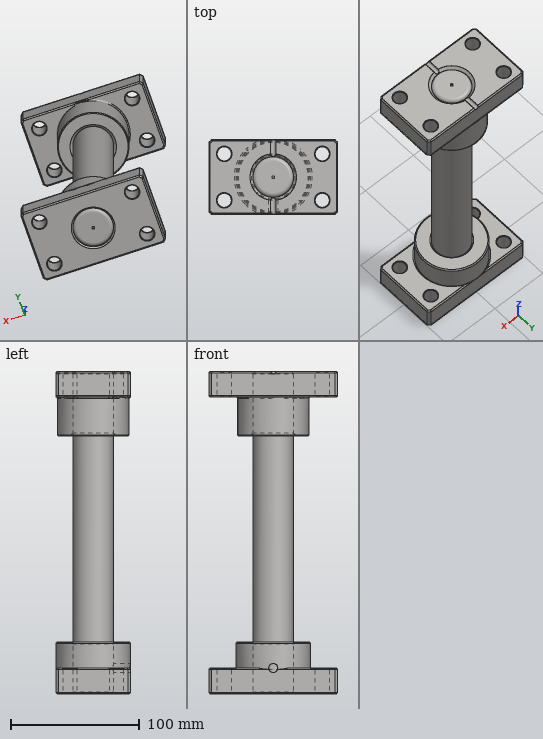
import cadquery as cq
import math

unit_height = 250.0

plate_length = 100.0
plate_width = 58.0
plate_thickness = 20.0
plate_corner_chamfer = 2.2
plate_edge_chamfer = plate_corner_chamfer / 2

bolt_spacing_x = 76.0
bolt_spacing_y = 36.0
bolt_hole_diameter = 11.0
bolt_hole_chamfer = 0.5

shaft_radius = 15.8
shaft_end_rounding = 3.2
center_mark_diameter = 2.0
center_mark_depth = 1.0

base_boss_radius = plate_width / 2
base_boss_height = 20.0
base_rim_chamfer = 1.0
base_mouth_chamfer = 1.2
root_groove_width = 1.2
cross_hole_diameter = 7.0

slider_boss_radius = 27.8
slider_boss_height = 30.0
slider_rim_chamfer = 0.8
slider_root_fillet = 1.0
slider_mouth_chamfer = 2.2
vent_groove_radius = 2.0


def make_plate(bottom_z):
    """Rectangular plate with chamfered edges and four bolt holes."""
    plate = (
        cq.Workplane("XY")
        .box(plate_length, plate_width, plate_thickness, centered=(True, True, False))
        .edges("|Z")
        .chamfer(plate_corner_chamfer)
        .faces("<Z or >Z")
        .chamfer(plate_edge_chamfer)
        .faces(">Z")
        .workplane(origin=(0, 0, plate_thickness))
        .rarray(bolt_spacing_x, bolt_spacing_y, 2, 2)
        .hole(bolt_hole_diameter)
        .edges("%CIRCLE")
        .chamfer(bolt_hole_chamfer)
    )
    return plate.translate((0, 0, bottom_z))


def make_bore(bottom_z, top_z, mouth_chamfer):
    """Cutter for the shaft bore, widened to a cone at both mouths."""
    mouth_radius = shaft_radius + mouth_chamfer
    return (
        cq.Workplane("XZ")
        .moveTo(0, bottom_z)
        .lineTo(mouth_radius, bottom_z)
        .lineTo(shaft_radius, bottom_z + mouth_chamfer)
        .lineTo(shaft_radius, top_z - mouth_chamfer)
        .lineTo(mouth_radius, top_z)
        .lineTo(0, top_z)
        .close()
        .revolve(360, (0, 0), (0, 1))
    )


def make_root_groove():
    """Cutter for the V-shaped relief ring in the base plate, around the foot of its boss."""
    return (
        cq.Workplane("XZ")
        .moveTo(base_boss_radius, plate_thickness)
        .lineTo(base_boss_radius + root_groove_width, plate_thickness)
        .lineTo(base_boss_radius, plate_thickness - root_groove_width)
        .close()
        .revolve(360, (0, 0), (0, 1))
    )


def make_base():
    """Lower flange: plate, boss, bore, and a radial hole from the -Y side into the bore."""
    top_z = plate_thickness + base_boss_height
    boss = (
        cq.Workplane("XY")
        .workplane(offset=plate_thickness - root_groove_width)
        .circle(base_boss_radius)
        .extrude(base_boss_height + root_groove_width)
        .faces(">Z")
        .chamfer(base_rim_chamfer)
    )
    cross_hole = (
        cq.Workplane("XZ")
        .center(0, plate_thickness)
        .circle(cross_hole_diameter / 2)
        .extrude(plate_width)
    )
    drilled_plate = make_plate(0).cut(cross_hole).cut(make_root_groove())
    drilled_boss = boss.cut(cross_hole)
    return drilled_plate.union(drilled_boss).cut(make_bore(0, top_z, base_mouth_chamfer))


def make_slider_boss(plate_underside):
    """Boss turned about Z below the plate, with a concave fillet at its root."""
    bottom_z = plate_underside - slider_boss_height
    arc_middle = slider_root_fillet * (1 - math.sqrt(0.5))
    return (
        cq.Workplane("XZ")
        .moveTo(0, plate_underside)
        .lineTo(slider_boss_radius + slider_root_fillet, plate_underside)
        .threePointArc(
            (slider_boss_radius + arc_middle, plate_underside - arc_middle),
            (slider_boss_radius, plate_underside - slider_root_fillet),
        )
        .lineTo(slider_boss_radius, bottom_z + slider_rim_chamfer)
        .lineTo(slider_boss_radius - slider_rim_chamfer, bottom_z)
        .lineTo(0, bottom_z)
        .close()
        .revolve(360, (0, 0), (0, 1))
    )


def make_slider():
    """Upper flange: plate, boss, bore, and a round-bottomed groove along Y across its top face."""
    plate_underside = unit_height - plate_thickness
    bottom_z = plate_underside - slider_boss_height
    vent_groove = (
        cq.Workplane("XZ")
        .center(0, unit_height)
        .circle(vent_groove_radius)
        .extrude(plate_width, both=True)
    )
    return (
        make_plate(plate_underside)
        .union(make_slider_boss(plate_underside))
        .cut(make_bore(bottom_z, unit_height, slider_mouth_chamfer))
        .cut(vent_groove)
    )


def make_shaft():
    """Full-height shaft with rounded ends and a small center mark in each end face."""
    shaft = (
        cq.Workplane("XY")
        .circle(shaft_radius)
        .extrude(unit_height)
        .faces("<Z or >Z")
        .fillet(shaft_end_rounding)
    )
    for end_face in ("<Z", ">Z"):
        shaft = shaft.faces(end_face).workplane().hole(center_mark_diameter, center_mark_depth)
    return shaft


base = make_base()
slider = make_slider()
shaft = make_shaft()

result = cq.Compound.makeCompound([base.solids().val(), slider.solids().val(), shaft.solids().val()])